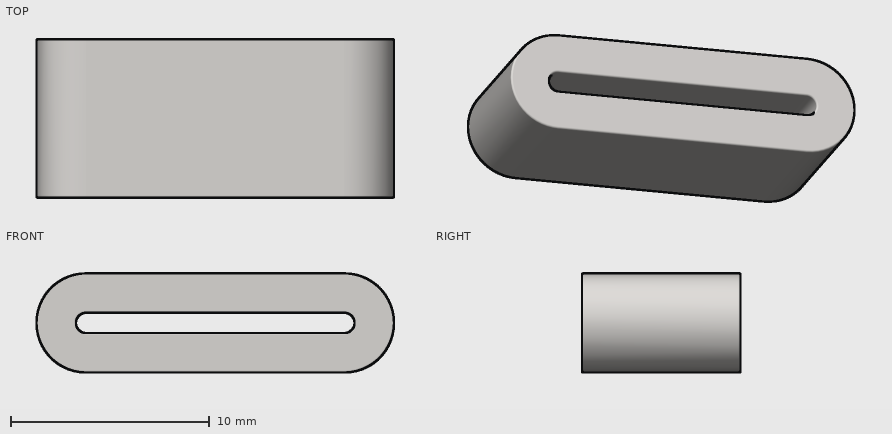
import cadquery as cq

length = 18.0
depth = 8.0
height = 5.0

slot_length = 14.0
slot_height = 1.0

rim_radius = 0.1


def obround_bar(bar_length, bar_height):
    """Bar with full-round ends in the XZ plane, centred on the origin."""
    return cq.Workplane("XZ").slot2D(bar_length, bar_height).extrude(depth / 2, both=True)


body = obround_bar(length, height)
slot = obround_bar(slot_length, slot_height)

result = body.cut(slot).faces("<Y or >Y").edges().fillet(rim_radius)